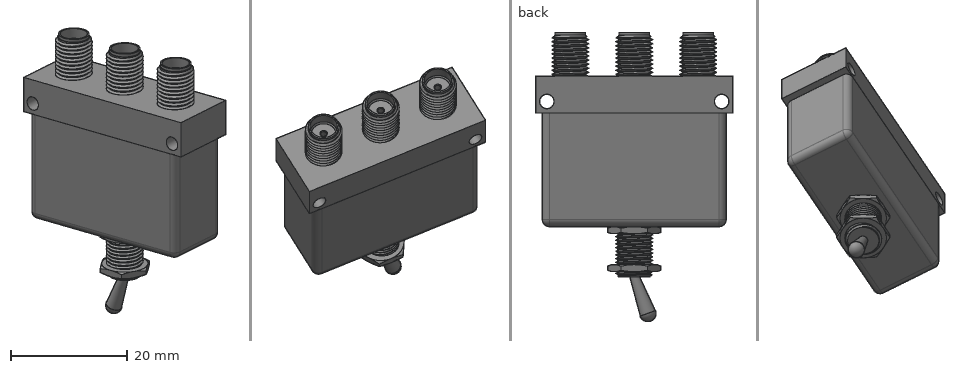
import cadquery as cq
import math


TOTAL_HEIGHT = 49.9

BLOCK_LENGTH = 34.02
BLOCK_DEPTH = 12.75
BLOCK_HEIGHT = 6.4
MOUNT_HOLE_DIAMETER = 2.45
MOUNT_HOLE_INSET = 1.95
MOUNT_HOLE_HEIGHT = 2.0

CONNECTOR_COUNT = 3
CONNECTOR_SPACING = 11.05
CONNECTOR_LENGTH = 7.55
CONNECTOR_MAJOR_RADIUS = 3.2
CONNECTOR_ROOT_RADIUS = 2.7
CONNECTOR_TEN_TURNS = 7.05
CONNECTOR_PITCH = CONNECTOR_TEN_TURNS / 10
CONNECTOR_FIRST_CREST = 0.285
CONNECTOR_NECK_RADIUS = 2.65
CONNECTOR_NECK_LENGTH = 0.5
BORE_RADIUS = 2.35
BORE_DEPTH = 1.8
BORE_FLOOR_RADIUS = 2.1
BORE_FLOOR_DEPTH = BORE_DEPTH + BORE_RADIUS - BORE_FLOOR_RADIUS
SOCKET_RADIUS = 0.5
SOCKET_MOUTH_RADIUS = 0.65
SOCKET_DEPTH = 1.5

CASE_LENGTH = 31.75
CASE_HEIGHT = 19.6
CASE_EDGE_RADIUS = 1.25

BUSHING_LENGTH = 8.65
BUSHING_MAJOR_RADIUS = 3.2
BUSHING_ROOT_RADIUS = 2.8
BUSHING_END_RADIUS = 2.7
BUSHING_TEN_TURNS = 6.35
BUSHING_PITCH = BUSHING_TEN_TURNS / 10
BUSHING_FIRST_CREST = 0.42
NUT_WIDTH = 8.0
NUT_THICKNESS = 1.2
NUT_CHAMFER_HEIGHT = 0.25
OUTER_NUT_OFFSET = 6.55

LEVER_TIP_DROP = TOTAL_HEIGHT - BLOCK_HEIGHT - CONNECTOR_LENGTH
LEVER_TILT = 20.0
LEVER_PIVOT_INSET = 0.15
LEVER_EMBEDDED_LENGTH = 1.0
LEVER_ROOT_RADIUS = 0.8
LEVER_END_RADIUS = 1.4
LEVER_TIP_RADIUS = 1.45

RIDGE_SINK = 0.075
RIDGE_BASE_SHARE = 0.9

CORE_SEAM_TURN = 50
ENVELOPE_SEAM_TURN = 25


def thread_ridge(inner_radius, crest_radius, pitch, start, height):
    """A right-hand helical ridge of triangular section, its crest starting over +X at z = start."""
    half_base = RIDGE_BASE_SHARE * pitch / 2
    corners = [
        cq.Vector(inner_radius, 0, start - half_base),
        cq.Vector(crest_radius, 0, start),
        cq.Vector(inner_radius, 0, start + half_base),
    ]
    helices = [
        cq.Wire.makeHelix(pitch, height, corner.x).translate(cq.Vector(0, 0, corner.z))
        for corner in corners
    ]
    sides = [
        cq.Face.makeRuledSurface(helices[index - 1], helices[index])
        for index in range(len(helices))
    ]
    start_cap = cq.Face.makeFromWires(cq.Wire.makePolygon(corners, close=True))
    turn = 360 * height / pitch
    end_cap = start_cap.rotate(cq.Vector(), cq.Vector(0, 0, 1), turn).translate(cq.Vector(0, 0, height))
    return cq.Solid.makeSolid(cq.Shell.makeShell([*sides, start_cap, end_cap])).fix()


def threaded_stud(length, root_radius, major_radius, pitch, first_crest, neck_radius, neck_length):
    """A stud along +Z with a right-hand V thread that fades out at a plain neck.

    It reaches one pitch below z = 0, so that the body it stands on swallows the start of the thread.
    """
    overrun = 2 * pitch
    core = (
        cq.Workplane("XY", origin=(0, 0, -overrun))
        .circle(root_radius)
        .extrude(length + 2 * overrun)
        .rotate((0, 0, 0), (0, 0, 1), CORE_SEAM_TURN)
    )
    start = first_crest - pitch
    thread_end = length - neck_length
    ridge = thread_ridge(root_radius - RIDGE_SINK, major_radius, pitch, start, thread_end - start)
    threaded_core = core.union(cq.Workplane(ridge), clean=False)

    outside_radius = major_radius + RIDGE_SINK
    lead_in = outside_radius - neck_radius
    outline = (
        cq.Workplane("XZ")
        .moveTo(0, -pitch)
        .lineTo(outside_radius, -pitch)
        .lineTo(outside_radius, thread_end - lead_in)
        .lineTo(neck_radius, thread_end)
    )
    if neck_length > 0:
        outline = outline.lineTo(neck_radius, length)
    envelope = (
        outline.lineTo(0, length)
        .close()
        .revolve(360, (0, 0), (0, 1))
        .rotate((0, 0, 0), (0, 0, 1), ENVELOPE_SEAM_TURN)
    )
    return threaded_core.intersect(envelope, clean=False)


def connector_bore():
    """The stepped cavity of a connector whose mouth is at z = 0."""
    mouth_depth = SOCKET_MOUTH_RADIUS - SOCKET_RADIUS
    return (
        cq.Workplane("XZ")
        .lineTo(BORE_RADIUS, 0)
        .lineTo(BORE_RADIUS, -BORE_DEPTH)
        .lineTo(BORE_FLOOR_RADIUS, -BORE_FLOOR_DEPTH)
        .lineTo(SOCKET_MOUTH_RADIUS, -BORE_FLOOR_DEPTH)
        .lineTo(SOCKET_RADIUS, -BORE_FLOOR_DEPTH - mouth_depth)
        .lineTo(SOCKET_RADIUS, -BORE_FLOOR_DEPTH - SOCKET_DEPTH)
        .lineTo(0, -BORE_FLOOR_DEPTH - SOCKET_DEPTH)
        .close()
        .revolve(360, (0, 0), (0, 1))
    )


def connector():
    """A hollow threaded connector standing on z = 0."""
    stud = threaded_stud(
        CONNECTOR_LENGTH,
        CONNECTOR_ROOT_RADIUS,
        CONNECTOR_MAJOR_RADIUS,
        CONNECTOR_PITCH,
        CONNECTOR_FIRST_CREST,
        CONNECTOR_NECK_RADIUS,
        CONNECTOR_NECK_LENGTH,
    )
    return stud.cut(connector_bore().translate((0, 0, CONNECTOR_LENGTH)))


def connector_block():
    """The block with its two mounting holes and its row of connectors."""
    block = cq.Workplane("XY").box(BLOCK_LENGTH, BLOCK_DEPTH, BLOCK_HEIGHT, centered=(True, True, False))
    hole_x = BLOCK_LENGTH / 2 - MOUNT_HOLE_INSET
    mount_holes = (
        cq.Workplane("XZ")
        .pushPoints([(-hole_x, MOUNT_HOLE_HEIGHT), (hole_x, MOUNT_HOLE_HEIGHT)])
        .circle(MOUNT_HOLE_DIAMETER / 2)
        .extrude(BLOCK_DEPTH, both=True)
    )
    block = block.cut(mount_holes)
    one_connector = connector()
    for index in range(CONNECTOR_COUNT):
        x = (index - (CONNECTOR_COUNT - 1) / 2) * CONNECTOR_SPACING
        block = block.union(one_connector.translate((x, 0, BLOCK_HEIGHT)))
    return block


def case():
    """The plain case below the block, rounded on its upright and bottom edges."""
    return (
        cq.Workplane("XY")
        .box(CASE_LENGTH, BLOCK_DEPTH, CASE_HEIGHT, centered=(True, True, False))
        .translate((0, 0, -CASE_HEIGHT))
        .edges("|Z or <Z")
        .fillet(CASE_EDGE_RADIUS)
    )


def bushing():
    """The threaded bushing hanging from the bottom of the case."""
    stud = threaded_stud(
        BUSHING_LENGTH,
        BUSHING_ROOT_RADIUS,
        BUSHING_MAJOR_RADIUS,
        BUSHING_PITCH,
        BUSHING_FIRST_CREST,
        BUSHING_END_RADIUS,
        0,
    )
    return stud.rotate((0, 0, 0), (1, 0, 0), 180).translate((0, 0, -CASE_HEIGHT))


def nut(top):
    """A hexagon nut with corners along X, chamfered on both faces, filled by the bushing."""
    flat_radius = NUT_WIDTH / 2
    corner_radius = flat_radius / math.cos(math.radians(30))
    hexagon = cq.Workplane("XY").polygon(6, 2 * corner_radius).extrude(-NUT_THICKNESS)
    chamfer_envelope = (
        cq.Workplane("XZ")
        .lineTo(flat_radius, 0)
        .lineTo(corner_radius, -NUT_CHAMFER_HEIGHT)
        .lineTo(corner_radius, NUT_CHAMFER_HEIGHT - NUT_THICKNESS)
        .lineTo(flat_radius, -NUT_THICKNESS)
        .lineTo(0, -NUT_THICKNESS)
        .close()
        .revolve(360, (0, 0), (0, 1))
    )
    return hexagon.intersect(chamfer_envelope).translate((0, 0, top))


def lever():
    """The tapered lever with a ball tip, tilted toward -X about a pivot just inside the bushing."""
    pivot_z = LEVER_PIVOT_INSET - CASE_HEIGHT - BUSHING_LENGTH
    drop_to_ball = pivot_z + LEVER_TIP_DROP - LEVER_TIP_RADIUS
    length = drop_to_ball / math.cos(math.radians(LEVER_TILT))
    return (
        cq.Workplane("XZ")
        .moveTo(0, LEVER_EMBEDDED_LENGTH)
        .lineTo(LEVER_ROOT_RADIUS, LEVER_EMBEDDED_LENGTH)
        .lineTo(LEVER_ROOT_RADIUS, 0)
        .lineTo(LEVER_END_RADIUS, -length)
        .lineTo(LEVER_TIP_RADIUS, -length)
        .radiusArc((0, -length - LEVER_TIP_RADIUS), LEVER_TIP_RADIUS)
        .close()
        .revolve(360, (0, 0), (0, 1))
        .rotate((0, 0, 0), (0, 1, 0), LEVER_TILT)
        .translate((0, 0, pivot_z))
    )


def switch():
    """The case, bushing, nuts and lever as one body."""
    body = case().union(bushing())
    for nut_offset in (0, OUTER_NUT_OFFSET):
        body = body.union(nut(-CASE_HEIGHT - nut_offset))
    return body.union(lever())


block_body = connector_block()
switch_body = switch()

result = cq.Compound.makeCompound([block_body.val(), switch_body.val()])